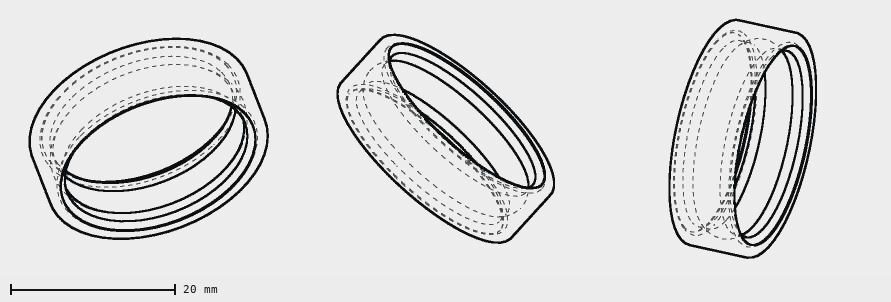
import cadquery as cq
import math

outer_radius = 14.0
width = 8.0
edge_fillet = 0.3

land_radius = 11.6
shoulder_depth = 0.9
shoulder_angle = math.radians(10)

lip_radius = 12.38
seal_groove_radius = 0.3
shoulder_top_radius = 12.45

raceway_width = 3.55
raceway_radius = 2.38

half_width = width / 2
land_end_x = half_width - shoulder_depth

raceway_edge_x = raceway_width / 2
raceway_depth = raceway_radius - math.sqrt(raceway_radius**2 - raceway_edge_x**2)

shoulder_top_x = land_end_x + (shoulder_top_radius - land_radius) * math.tan(shoulder_angle)
groove_center_x = shoulder_top_x + seal_groove_radius * math.cos(shoulder_angle)
groove_center_radius = shoulder_top_radius - seal_groove_radius * math.sin(shoulder_angle)
lip_offset = lip_radius - groove_center_radius
lip_edge_x = groove_center_x + math.sqrt(seal_groove_radius**2 - lip_offset**2)
groove_top = (groove_center_x, groove_center_radius + seal_groove_radius)


def mirrored(point):
    """Return the matching section point on the -X half."""
    x, radius = point
    return (-x, radius)


def ring_body():
    """Revolve the ring section, drawn in XY with Y as the radius, about X."""
    rim = (half_width, outer_radius)
    lip_mouth = (half_width, lip_radius)
    lip_edge = (lip_edge_x, lip_radius)
    shoulder_top = (shoulder_top_x, shoulder_top_radius)
    land_end = (land_end_x, land_radius)
    raceway_edge = (raceway_edge_x, land_radius)
    raceway_bottom = (0, land_radius + raceway_depth)

    section = (
        cq.Workplane("XY")
        .moveTo(*rim)
        .lineTo(*lip_mouth)
        .lineTo(*lip_edge)
        .threePointArc(groove_top, shoulder_top)
        .lineTo(*land_end)
        .lineTo(*raceway_edge)
        .threePointArc(raceway_bottom, mirrored(raceway_edge))
        .lineTo(*mirrored(land_end))
        .lineTo(*mirrored(shoulder_top))
        .threePointArc(mirrored(groove_top), mirrored(lip_edge))
        .lineTo(*mirrored(lip_mouth))
        .lineTo(*mirrored(rim))
        .close()
    )
    return section.revolve(360, (0, 0, 0), (1, 0, 0))


def round_outer_edges(ring):
    """Round the outer rim at both end faces."""
    rim_edges = ring.faces("<X or >X").edges(cq.selectors.RadiusNthSelector(-1))
    return rim_edges.fillet(edge_fillet)


result = round_outer_edges(ring_body())